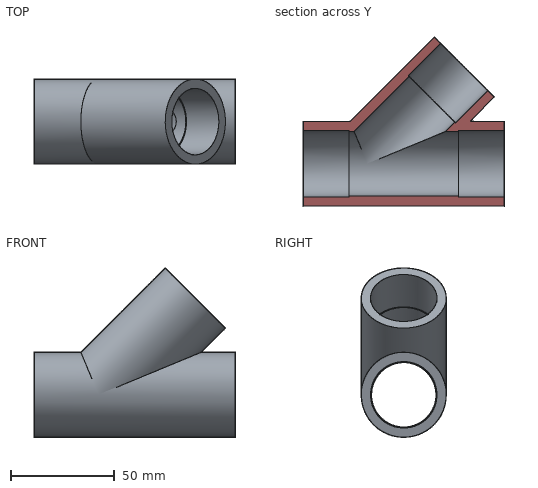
import cadquery as cq

run_length = 97.0
outer_diameter = 41.0
bore_diameter = 31.0
socket_diameter = 32.0
socket_depth = 22.0

junction_x = -17.5
branch_length = 66.0
branch_angle = 45.0


def cylinder_along_x(diameter, start, end):
    """Solid cylinder centred on the X axis between two X positions."""
    return cq.Workplane("YZ", origin=(start, 0, 0)).circle(diameter / 2).extrude(end - start)


def place_branch(body):
    """Tilt a body on the X axis up toward +Z and move it to the junction."""
    return body.rotate((0, 0, 0), (0, 1, 0), -branch_angle).translate((junction_x, 0, 0))


run_end = run_length / 2
run = cylinder_along_x(outer_diameter, -run_end, run_end)
branch = place_branch(cylinder_along_x(outer_diameter, 0, branch_length))

run_bore = cylinder_along_x(bore_diameter, -run_end, run_end)
branch_bore = place_branch(cylinder_along_x(bore_diameter, 0, branch_length))

left_socket = cylinder_along_x(socket_diameter, -run_end, -run_end + socket_depth)
right_socket = cylinder_along_x(socket_diameter, run_end - socket_depth, run_end)
branch_socket = place_branch(
    cylinder_along_x(socket_diameter, branch_length - socket_depth, branch_length)
)

result = run.union(branch)
for cavity in (run_bore, branch_bore, left_socket, right_socket, branch_socket):
    result = result.cut(cavity)